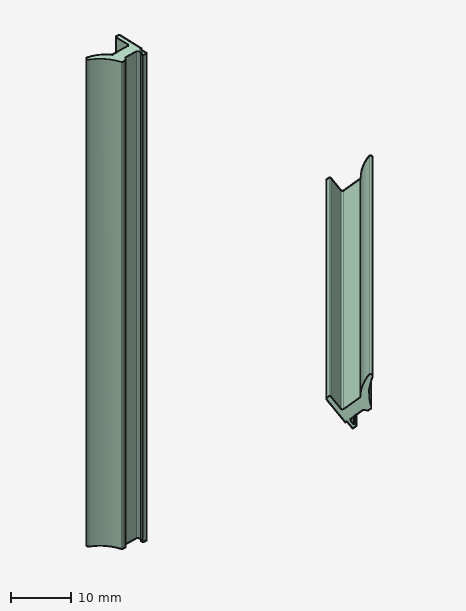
import cadquery as cq

length = 100.0
width = 7.0
depth = 8.7

left = -width / 2
right = width / 2
back = depth / 2
front = -depth / 2

stem_left = -0.2
stem_width = 2.1
stem_right = stem_left + stem_width
flange_thickness = 0.9
flange_underside = back - flange_thickness
root_fillet = 0.3
edge_round = 0.2

flange_step = 0.3
hook_drop = 0.3
hook_width = 0.5
hook_bottom = flange_underside - hook_drop
hook_left = right - hook_width

barb_right = stem_right + 0.6
barb_start = 0.6
barb_top = 0.1
barb_bottom = -0.7

lip_root = -0.4
tip_left = -2.6
tip_width = 0.7
tip_round = 0.3
outer_middle = (-1.6, -1.9)
inner_middle = (-0.2, -2.2)


def section():
    """Closed outline of the strip, starting at the back left corner."""
    return (
        cq.Workplane("XY", origin=(0, 0, -length / 2))
        .moveTo(left, back)
        .lineTo(stem_right, back)
        .lineTo(stem_right, back - flange_step)
        .lineTo(right, back - flange_step)
        .lineTo(right, hook_bottom)
        .lineTo(hook_left, hook_bottom)
        .lineTo(hook_left, flange_underside)
        .lineTo(stem_right, flange_underside)
        .lineTo(stem_right, barb_start)
        .lineTo(barb_right, barb_top)
        .lineTo(barb_right, barb_bottom)
        .threePointArc(inner_middle, (tip_left + tip_width, front))
        .lineTo(tip_left, front)
        .threePointArc(outer_middle, (stem_left, lip_root))
        .lineTo(stem_left, flange_underside)
        .lineTo(left, flange_underside)
        .close()
    )


def round_corners(strip, radius, corners):
    """Round the lengthwise edges that pass through the given section points."""
    for x, y in corners:
        nearest = cq.selectors.NearestToPointSelector((x, y, 0))
        strip = strip.edges("|Z").edges(nearest).fillet(radius)
    return strip


stem_roots = [(stem_left, flange_underside), (stem_right, flange_underside)]
flange_ends = [(left, back), (left, flange_underside)]
barb_corners = [(barb_right, barb_top), (barb_right, barb_bottom)]
tip_corners = [(tip_left, front), (tip_left + tip_width, front)]

result = section().extrude(length)
result = round_corners(result, root_fillet, stem_roots)
result = round_corners(result, edge_round, flange_ends + barb_corners)
result = round_corners(result, tip_round, tip_corners)